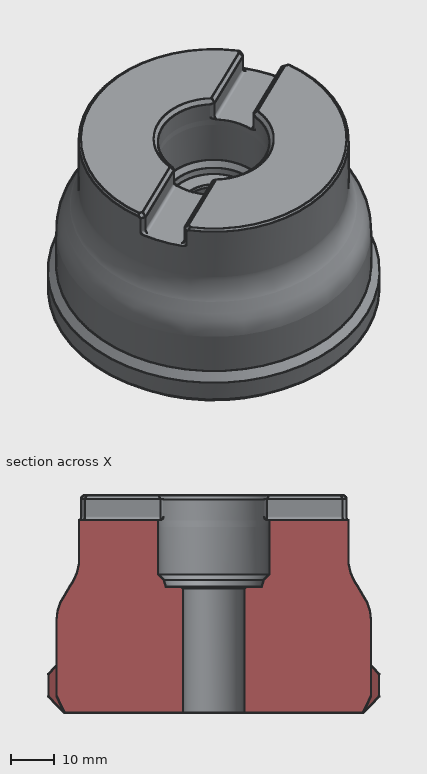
import cadquery as cq
import math

height = 49.95
waist_radius = 36.2
waist_top = 21.4
shoulder_arc_bottom = 27.0
shoulder_arc_top = 29.3
neck_bottom = 35.2
neck_radius = 31.0
rim_chamfer = 0.5
blend_angle = math.radians(37)

collar_radius = 38.1
base_chamfer = 3.7
collar_side_top = 8.9
collar_top = collar_side_top + collar_radius - waist_radius
base_radius = collar_radius - base_chamfer

bore_radius = 12.7
relief_radius = 12.8
bore_mouth_chamfer = 1.0
relief_bottom = 44.0
relief_taper = 1.45
seat_top = 31.75
seat_radius = 11.4
seat_lip = 0.45
seat_lip_depth = 1.5
bolt_hole_radius = 7.0
bolt_hole_chamfer = 0.45
seat_bottom = seat_top - (bore_radius - seat_radius)
bolt_floor = seat_bottom - seat_lip_depth

slot_half_width = 4.8
slot_floor = 44.25
slot_edge_chamfer = 0.9
slot_floor_fillet = 0.75
slot_outer_flare_y = 29.55
slot_inner_flare_y = 12.25
slot_flare = 2.3


def make_outer_body():
    """Revolve the outside profile with its S-shaped shoulder."""
    arc_height = shoulder_arc_bottom - waist_top
    arc_radius = arc_height / math.sin(blend_angle)
    lower_arc_end = waist_radius - arc_radius * (1 - math.cos(blend_angle))
    upper_arc_radius = (neck_bottom - shoulder_arc_top) / math.sin(blend_angle)
    upper_arc_start = neck_radius + upper_arc_radius * (1 - math.cos(blend_angle))
    half_angle = blend_angle / 2
    lower_arc_middle = (
        waist_radius - arc_radius * (1 - math.cos(half_angle)),
        waist_top + arc_radius * math.sin(half_angle),
    )
    upper_arc_middle = (
        neck_radius + upper_arc_radius * (1 - math.cos(half_angle)),
        neck_bottom - upper_arc_radius * math.sin(half_angle),
    )
    return (
        cq.Workplane("XZ")
        .lineTo(base_radius, 0)
        .lineTo(waist_radius, base_chamfer)
        .lineTo(waist_radius, waist_top)
        .threePointArc(lower_arc_middle, (lower_arc_end, shoulder_arc_bottom))
        .lineTo(upper_arc_start, shoulder_arc_top)
        .threePointArc(upper_arc_middle, (neck_radius, neck_bottom))
        .lineTo(neck_radius, height - rim_chamfer)
        .lineTo(neck_radius - rim_chamfer, height)
        .lineTo(0, height)
        .close()
        .revolve(360, (0, 0, 0), (0, 1, 0))
    )


def make_bore():
    """Revolve the bore, from the bolt hole up to its chamfered mouth."""
    return (
        cq.Workplane("XZ")
        .lineTo(bolt_hole_radius, 0)
        .lineTo(bolt_hole_radius, bolt_floor - bolt_hole_chamfer)
        .lineTo(bolt_hole_radius + bolt_hole_chamfer, bolt_floor)
        .lineTo(seat_radius - seat_lip, bolt_floor)
        .lineTo(seat_radius, seat_bottom)
        .lineTo(bore_radius, seat_top)
        .lineTo(bore_radius, relief_bottom - relief_taper)
        .lineTo(relief_radius, relief_bottom)
        .lineTo(relief_radius, height - bore_mouth_chamfer)
        .lineTo(relief_radius + bore_mouth_chamfer, height)
        .lineTo(0, height)
        .close()
        .revolve(360, (0, 0, 0), (0, 1, 0))
    )


def slot_outline(z):
    """Plan of one slot arm, flared where it meets the bore and the rim."""
    flared_half_width = slot_half_width + slot_flare
    side = [
        (flared_half_width, slot_inner_flare_y - slot_flare),
        (slot_half_width, slot_inner_flare_y),
        (slot_half_width, slot_outer_flare_y),
        (flared_half_width, slot_outer_flare_y + slot_flare),
    ]
    opposite_side = [(-x, y) for x, y in reversed(side)]
    return cq.Workplane("XY").workplane(offset=z).polyline(side + opposite_side).close()


def make_slot_arm():
    """Slot arm with rounded floor corners and chamfered upper edges."""
    arm = slot_outline(slot_floor).extrude(height - slot_floor)
    arm = arm.faces("<Z").edges("not |X").fillet(slot_floor_fillet)
    edge_break = slot_outline(height - slot_edge_chamfer).extrude(slot_edge_chamfer, taper=-45)
    return arm.union(edge_break)


def make_housing():
    """Main body, whose waist goes straight down into the collar and tapers at the foot."""
    body = make_outer_body().cut(make_bore())
    for angle in (0, 180):
        body = body.cut(make_slot_arm().rotate((0, 0, 0), (0, 0, 1), angle))
    return body


def make_collar():
    """Ring around the foot of the housing, coming to a sharp edge at top and bottom."""
    return (
        cq.Workplane("XZ")
        .moveTo(base_radius, 0)
        .lineTo(collar_radius, base_chamfer)
        .lineTo(collar_radius, collar_side_top)
        .lineTo(waist_radius, collar_top)
        .lineTo(waist_radius, base_chamfer)
        .close()
        .revolve(360, (0, 0, 0), (0, 1, 0))
    )


housing = make_housing()
collar = make_collar()
result = cq.Compound.makeCompound([housing.val(), collar.val()])